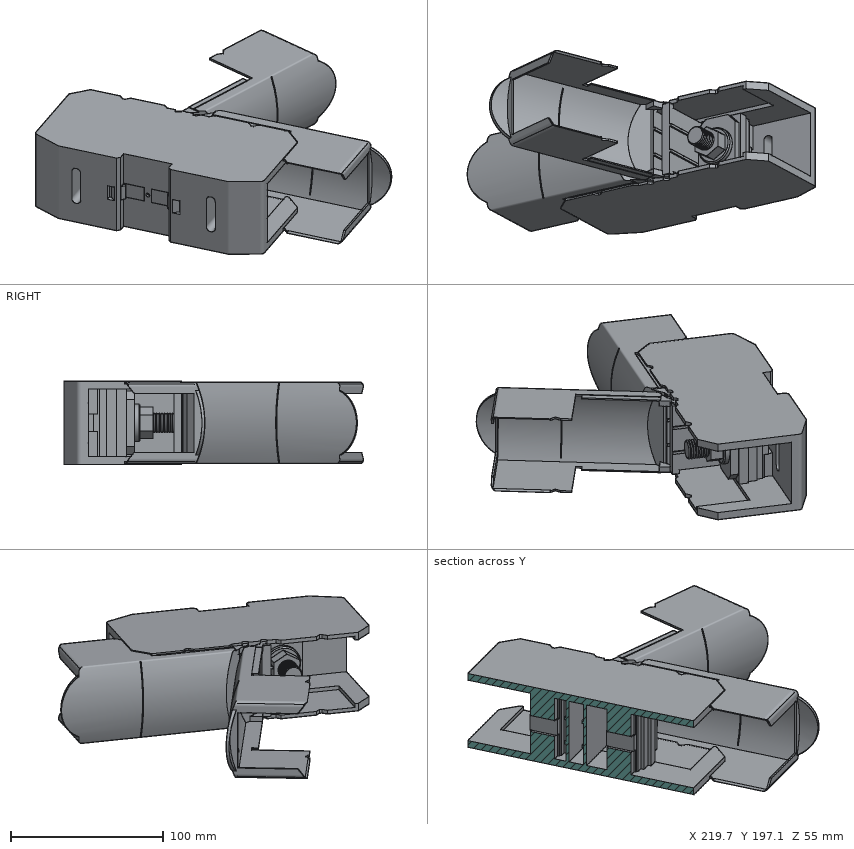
import cadquery as cq
import math

BODY_LENGTH = 163.5
BODY_DEPTH = 77.4
BODY_HEIGHT = 55.0
MID_X = BODY_LENGTH / 2
PLATE = 5.3
HALF_INSIDE = BODY_HEIGHT / 2 - PLATE
FRONT_WALL = 16.0
REAR_CHAMFER = 10.8
FLANK_LENGTH = 20.9
FLANK_RISE = 9.2
FLANK_ROUND = 3.3
RAIL_WIDTH = 34.5
RAIL_DEPTH = 7.3
RAIL_CHAMFER = 2.0
NOTCH_OFFSET = 46.0
NOTCH_TOP = 7.5
NOTCH_FLOOR = 1.8
NOTCH_DEPTH = 2.9
HINGE_GAP_TOP = 35.8
HINGE_GAP_FLOOR = 30.0
HINGE_GAP_DEPTH = 2.6
INNER_RECESS_EDGE = 13.0
INNER_RECESS_FRONT = 40.9
INNER_RECESS_DEPTH = 2.6

SLOT_OFFSET = 48.1
SLOT_WIDTH = 6.4
SLOT_LENGTH = 26.4
LATCH_HEIGHT = 10.0
LATCH_HOOK = 2.2
LATCH_HOOK_LOW = 2.5
LATCH_HOOK_MID = 4.8
LATCH_HOOK_HIGH = 6.2
LATCH_SLIT_OUTER = 26.0
LATCH_SLIT_INNER = 20.7
LATCH_SLIT_FLOOR = 1.5
LATCH_SLIT_DEPTH = 3.3
LATCH_PAD_INNER = 2.6
LATCH_PAD_DEPTH = 0.2
CENTRE_HOLE_DIAMETER = 2.6
CENTRE_HOLE_DEPTH = 2.2

HINGE_LEFT_X = 75.0
HINGE_RIGHT_X = 87.7
HINGE_Y = 74.5
KNOB_RADIUS = 2.2
POST_LEFT = 4.2
POST_RIGHT = 2.0
POST_HEAD = 4.8
POST_WALL = 2.6
RIB_INNER = 8.1
RIB_OUTER = 9.9
RIB_REACH = 1.0

TERMINAL_OFFSET = 27.7
CLAMP_STEPS = [
    (FRONT_WALL, 22.0, 8.8),
    (22.0, 23.5, 9.9),
    (23.5, 28.0, 11.0),
    (28.0, 34.5, 13.2),
    (34.5, 41.0, 15.4),
]
KEY_HALF_WIDTH = CLAMP_STEPS[1][2]
CHANNEL_WIDTH = 11.5
CHANNEL_TOP = 19.3
PRESSURE_PLATE_TOP = 46.4
PRESSURE_PLATE_LENGTH = 41.8
PRESSURE_PLATE_WIDTH = 28.5
PRESSURE_PLATE_CHAMFER = 5.5
WASHER_TOP = 50.0
WASHER_RADIUS = 12.3
WASHER_CHAMFER = 0.9
NUT_TOP = 58.5
NUT_ACROSS_CORNERS = 20.7
STUD_TOP = 72.3
STUD_RADIUS = 6.4
THREAD_DEPTH = 0.7
THREAD_TURNS = 8

COVER_HALF_HEIGHT = 26.8
SHEET = 1.3
COVER_END = 118.9
SIDE_TOP = 12.5
BACK_TOP = 18.2
SIDE_START = 9.5
STRIP_END = 61.5
STRIP_BOTTOM = 0.5
STRIP_TOP = 4.8
STRIP_RECESS = 0.5
ARM_RECESS = 0.9
RELIEF_WIDTH = 4.2
SKIRT_BOTTOM = -34.5
SKIRT_HEEL = -33.6
SKIRT_CHAMFER = 2.6
SKIRT_NOTCH_START = 73.0
SKIRT_NOTCH_MID = 76.7
SKIRT_NOTCH_END = 79.8
SKIRT_NOTCH_DEPTH = 3.0
END_ROUND = 3.3
BACK_ROUND = 1.3
FLANGE_INNER = 19.3
FLANGE_CHAMFER = 6.2
TAB_TIP = 132.0
TAB_THICKNESS = 2.0
TAB_RADIUS = 23.7
GROOVE_U = 75.5
GROOVE_WIDTH = 0.7
GROOVE_DEPTH = 0.2
RAKE_FOOT_U = 6.2
RAKE_FOOT_V = 6.5
RAKE_TOP_U = 18.7
ARM_TOP = COVER_HALF_HEIGHT - ARM_RECESS
ARM_BOTTOM = 22.0
ARM_HEEL_U = 3.5
ARM_NECK = (2.2, 2.9)
ARM_SHOULDER = (10.3, 10.3)
OPEN_ANGLE = 110


def block(x0, x1, y0, y1, z0, z1):
    """Box between two opposite corners."""
    return cq.Workplane("XY").box(x1 - x0, y1 - y0, z1 - z0, centered=False).translate((x0, y0, z0))


def prism(points, half_height):
    """XY outline extruded equally up and down."""
    return cq.Workplane("XY").polyline(points).close().extrude(half_height, both=True)


def both_ends(shape):
    """Shape together with its mirror image about the middle of the housing."""
    return shape.union(shape.mirror("YZ", (MID_X, 0, 0)))


def both_plates(shape):
    """Shape together with its mirror image below the mid-plane."""
    return shape.union(shape.mirror("XY"))


def rear_notch(x, top_width, floor_width, depth):
    floor_y = BODY_DEPTH - depth
    points = [
        (x - top_width / 2, BODY_DEPTH),
        (x - floor_width / 2, floor_y),
        (x + floor_width / 2, floor_y),
        (x + top_width / 2, BODY_DEPTH),
    ]
    return prism(points, BODY_HEIGHT)


def housing():
    half = [
        (0, FLANK_RISE),
        (FLANK_LENGTH, 0),
        (MID_X - RAIL_WIDTH / 2 - RAIL_CHAMFER, 0),
        (MID_X - RAIL_WIDTH / 2, RAIL_CHAMFER),
        (MID_X - RAIL_WIDTH / 2, RAIL_DEPTH),
        (MID_X, RAIL_DEPTH),
        (MID_X, BODY_DEPTH),
        (REAR_CHAMFER, BODY_DEPTH),
        (0, BODY_DEPTH - REAR_CHAMFER),
    ]
    left = prism(half, BODY_HEIGHT / 2)
    for x, y in half[:2]:
        left = left.edges(cq.NearestToPointSelector((x, y, 0))).fillet(FLANK_ROUND)
    body = both_ends(left)

    body = body.cut(block(0, BODY_LENGTH, FRONT_WALL, BODY_DEPTH, -HALF_INSIDE, HALF_INSIDE))
    recess_half = HALF_INSIDE + INNER_RECESS_DEPTH
    body = body.cut(block(INNER_RECESS_EDGE, BODY_LENGTH - INNER_RECESS_EDGE,
                          INNER_RECESS_FRONT, BODY_DEPTH, -recess_half, recess_half))

    body = body.cut(both_ends(rear_notch(MID_X - NOTCH_OFFSET, NOTCH_TOP, NOTCH_FLOOR, NOTCH_DEPTH)))
    body = body.cut(rear_notch(MID_X, HINGE_GAP_TOP, HINGE_GAP_FLOOR, HINGE_GAP_DEPTH))

    slot = cq.Workplane("XZ").center(MID_X - SLOT_OFFSET, 0).slot2D(SLOT_LENGTH, SLOT_WIDTH, 90)
    return body.cut(both_ends(slot.extrude(-FRONT_WALL)))


def latch_cuts():
    """Slit, shallow tongue outline and centre hole on the front face."""
    half = LATCH_HEIGHT / 2
    slit = prism([(MID_X - LATCH_SLIT_OUTER, 0),
                  (MID_X - LATCH_SLIT_INNER, 0),
                  (MID_X - LATCH_SLIT_OUTER + LATCH_SLIT_FLOOR, LATCH_SLIT_DEPTH),
                  (MID_X - LATCH_SLIT_OUTER, LATCH_SLIT_DEPTH)], half)
    pad = block(MID_X - RAIL_WIDTH / 2, MID_X - LATCH_PAD_INNER,
                RAIL_DEPTH, RAIL_DEPTH + LATCH_PAD_DEPTH, -half, half)
    hole = cq.Workplane("XZ", (MID_X, RAIL_DEPTH, 0)).circle(CENTRE_HOLE_DIAMETER / 2)
    return both_ends(slit.union(pad)).union(hole.extrude(-CENTRE_HOLE_DEPTH))


def latch_hooks():
    wall = MID_X - RAIL_WIDTH / 2
    hook = prism([(wall - LATCH_HOOK, LATCH_HOOK_LOW),
                  (wall, LATCH_HOOK_LOW),
                  (wall + LATCH_HOOK, LATCH_HOOK_MID),
                  (wall + LATCH_HOOK, LATCH_HOOK_HIGH),
                  (wall - LATCH_HOOK, LATCH_HOOK_HIGH)], LATCH_HEIGHT / 2)
    return both_ends(hook)


def hinge_post(hinge_x):
    """Cross wall whose head carries the hinge socket."""
    half = HALF_INSIDE + INNER_RECESS_DEPTH
    left = hinge_x - POST_LEFT
    wall = block(left, left + POST_WALL, FRONT_WALL, BODY_DEPTH, -HALF_INSIDE, HALF_INSIDE)
    head = block(left, hinge_x + POST_RIGHT, BODY_DEPTH - POST_HEAD, BODY_DEPTH, -half, half)
    rib = block(left - RIB_REACH, left, FRONT_WALL, BODY_DEPTH, RIB_INNER, RIB_OUTER)
    return wall.union(head).union(both_plates(rib))


def terminal(x):
    """Stepped clamp with pressure plate, washer, hexagon nut and threaded stud."""
    part = None
    for y0, y1, half_width in CLAMP_STEPS:
        step = block(x - half_width, x + half_width, y0, y1, -HALF_INSIDE, HALF_INSIDE)
        part = step if part is None else part.union(step)
    part = part.union(block(x - KEY_HALF_WIDTH, x + KEY_HALF_WIDTH, FRONT_WALL, CLAMP_STEPS[1][1],
                            -CHANNEL_WIDTH / 2, CHANNEL_WIDTH / 2))
    part = part.cut(block(x - KEY_HALF_WIDTH, x + KEY_HALF_WIDTH, FRONT_WALL, CHANNEL_TOP,
                          -CHANNEL_WIDTH / 2, CHANNEL_WIDTH / 2))

    clamp_top = CLAMP_STEPS[-1][1]
    plate = block(x - PRESSURE_PLATE_WIDTH / 2, x + PRESSURE_PLATE_WIDTH / 2, clamp_top,
                  PRESSURE_PLATE_TOP, -PRESSURE_PLATE_LENGTH / 2, PRESSURE_PLATE_LENGTH / 2)
    part = part.union(plate.edges("|Y").chamfer(PRESSURE_PLATE_CHAMFER))
    washer = cq.Workplane("XZ", (x, PRESSURE_PLATE_TOP, 0)).circle(WASHER_RADIUS)
    washer = washer.extrude(PRESSURE_PLATE_TOP - WASHER_TOP).faces(">Y").chamfer(WASHER_CHAMFER)
    part = part.union(washer)

    nut = cq.Workplane("XZ", (x, WASHER_TOP, 0)).transformed(rotate=(0, 0, 90))
    part = part.union(nut.polygon(6, NUT_ACROSS_CORNERS).extrude(WASHER_TOP - NUT_TOP))

    pitch = (STUD_TOP - NUT_TOP) / THREAD_TURNS
    profile = [(0, NUT_TOP)]
    for turn in range(THREAD_TURNS):
        start = NUT_TOP + turn * pitch
        profile.append((STUD_RADIUS - THREAD_DEPTH, start))
        profile.append((STUD_RADIUS, start + pitch / 2))
    profile += [(STUD_RADIUS - THREAD_DEPTH, STUD_TOP), (0, STUD_TOP)]
    stud = cq.Workplane("XY").polyline(profile).close().revolve(360, (0, 0), (0, 1))
    return part.union(stud.translate((x, 0, 0)))


def arched_section(inset, start, end):
    """Channel envelope with a circular back, moved inwards by the inset."""
    half = COVER_HALF_HEIGHT - inset
    section = (
        cq.Workplane("YZ", (start, 0, 0))
        .moveTo(SKIRT_BOTTOM, -half)
        .lineTo(SIDE_TOP - inset, -half)
        .threePointArc((BACK_TOP - inset, 0), (SIDE_TOP - inset, half))
        .lineTo(SKIRT_BOTTOM, half)
        .close()
    )
    return section.extrude(end - start)


def rake_cut(shift):
    """Everything on the hinge side of the sloped end wall."""
    slope = (BACK_TOP - RAKE_FOOT_V) / (RAKE_TOP_U - RAKE_FOOT_U)
    top_v = 2 * BACK_TOP
    foot_u = RAKE_FOOT_U + shift
    top_u = foot_u + (top_v - RAKE_FOOT_V) / slope
    low_u = foot_u + (SKIRT_BOTTOM - RAKE_FOOT_V) / slope
    far_u = low_u - SHEET
    return prism([(low_u, SKIRT_BOTTOM), (top_u, top_v), (far_u, top_v), (far_u, SKIRT_BOTTOM)],
                 BODY_HEIGHT)


def cover_silhouette():
    """Side outline of the cover: short strip at the hinge, deep skirt beyond it."""
    skirt_start = STRIP_END + RELIEF_WIDTH
    return prism([
        (0, RAKE_FOOT_V),
        (SIDE_START, RAKE_FOOT_V),
        (SIDE_START, STRIP_BOTTOM),
        (STRIP_END, STRIP_BOTTOM),
        (STRIP_END, STRIP_TOP),
        (skirt_start, STRIP_TOP),
        (skirt_start, SKIRT_HEEL),
        (SKIRT_NOTCH_START, SKIRT_HEEL),
        (SKIRT_NOTCH_MID, SKIRT_BOTTOM + SKIRT_NOTCH_DEPTH),
        (SKIRT_NOTCH_END, SKIRT_BOTTOM),
        (COVER_END - SKIRT_CHAMFER, SKIRT_BOTTOM),
        (COVER_END, SKIRT_BOTTOM + SKIRT_CHAMFER),
        (COVER_END, BACK_TOP),
        (0, BACK_TOP),
    ], BODY_HEIGHT)


def cover():
    shell = arched_section(0, 0, COVER_END)
    for side in (-1, 1):
        shoulder = (COVER_END / 2, SIDE_TOP, side * COVER_HALF_HEIGHT)
        shell = shell.edges(cq.NearestToPointSelector(shoulder)).fillet(BACK_ROUND)
    plan = block(0, COVER_END, SKIRT_BOTTOM, BACK_TOP, -COVER_HALF_HEIGHT, COVER_HALF_HEIGHT)
    shell = shell.intersect(plan.edges("|Y and >X").fillet(END_ROUND))
    cavity = arched_section(SHEET, 0, COVER_END - SHEET).cut(rake_cut(SHEET * math.sqrt(2)))
    shell = shell.cut(cavity).intersect(cover_silhouette()).cut(rake_cut(0))
    shell = shell.cut(block(COVER_END - 2 * SHEET, COVER_END, SKIRT_BOTTOM, SIDE_TOP - SHEET,
                            -FLANGE_INNER, FLANGE_INNER))

    strip_step = block(SIDE_START, STRIP_END, STRIP_BOTTOM, STRIP_TOP,
                       COVER_HALF_HEIGHT - STRIP_RECESS, COVER_HALF_HEIGHT)
    arm_step = block(0, SIDE_START, 0, BACK_TOP, ARM_TOP, COVER_HALF_HEIGHT)
    shell = shell.cut(both_plates(strip_step.union(arm_step)))

    bevel = cq.Workplane("YZ", (SKIRT_NOTCH_END, 0, 0)).polyline([
        (SKIRT_BOTTOM, COVER_HALF_HEIGHT),
        (SKIRT_BOTTOM + SHEET, COVER_HALF_HEIGHT - SHEET),
        (SKIRT_BOTTOM + FLANGE_CHAMFER, FLANGE_INNER),
        (SKIRT_BOTTOM, FLANGE_INNER),
    ]).close().extrude(COVER_END - SKIRT_NOTCH_END)
    shell = shell.cut(both_plates(bevel))

    back_zone = block(0, COVER_END, SIDE_TOP, BACK_TOP, -COVER_HALF_HEIGHT, COVER_HALF_HEIGHT)
    for inset in (0, SHEET - GROOVE_DEPTH):
        groove = arched_section(inset, GROOVE_U, GROOVE_U + GROOVE_WIDTH)
        groove = groove.cut(arched_section(inset + GROOVE_DEPTH, GROOVE_U, GROOVE_U + GROOVE_WIDTH))
        shell = shell.cut(groove.intersect(back_zone))
    return shell.union(finger_tab()).union(hinge_arms())


def finger_tab():
    """Rounded continuation of the curved back past the cover's end."""
    start = COVER_END - SHEET
    sheet = arched_section(0, start, TAB_TIP).cut(arched_section(TAB_THICKNESS, start, TAB_TIP))
    disc = cq.Workplane("XY").circle(TAB_RADIUS).extrude(2 * BACK_TOP)
    disc = disc.rotate((0, 0, 0), (1, 0, 0), -90).translate((TAB_TIP - TAB_RADIUS, 0, 0))
    return sheet.intersect(disc)


def hinge_arms():
    """Upper and lower arms, each ending in a round knob on the hinge axis."""
    arm = [(0, 0), (ARM_HEEL_U, STRIP_BOTTOM), (ARM_SHOULDER[0], STRIP_BOTTOM),
           ARM_SHOULDER, ARM_NECK, (0, KNOB_RADIUS)]
    plane = cq.Workplane("XY", (0, 0, ARM_BOTTOM))
    thickness = ARM_TOP - ARM_BOTTOM
    upper = plane.polyline(arm).close().extrude(thickness)
    upper = upper.union(plane.circle(KNOB_RADIUS).extrude(thickness))
    return both_plates(upper)


def socket_pockets():
    """Shallow round pockets that leave the knobs' ends in view on both plates."""
    pockets = cq.Workplane("XY", (0, 0, ARM_TOP))
    pockets = pockets.pushPoints([(HINGE_LEFT_X, HINGE_Y), (HINGE_RIGHT_X, HINGE_Y)])
    return both_plates(pockets.circle(KNOB_RADIUS).extrude(BODY_HEIGHT / 2 - ARM_TOP))


result = housing().cut(latch_cuts()).union(latch_hooks())
for hinge_x in (HINGE_LEFT_X, HINGE_RIGHT_X):
    result = result.union(hinge_post(hinge_x))
result = result.union(both_ends(terminal(MID_X - TERMINAL_OFFSET)))
result = result.cut(socket_pockets())

right_cover = cover()
left_cover = right_cover.mirror("YZ").rotate((0, 0, 0), (0, 0, 1), -OPEN_ANGLE)
result = result.union(right_cover.translate((HINGE_RIGHT_X, HINGE_Y, 0)))
result = result.union(left_cover.translate((HINGE_LEFT_X, HINGE_Y, 0)))